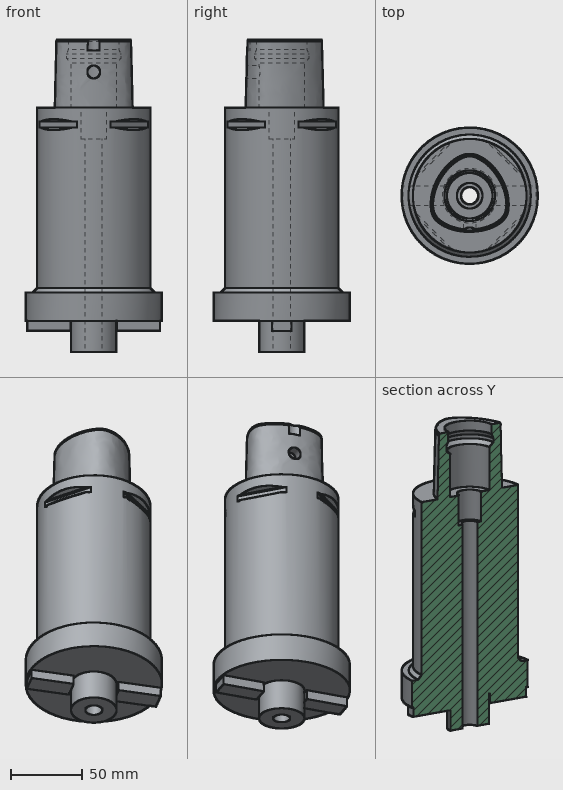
import math

import cadquery as cq


SHANK_LENGTH = 48.0
SHANK_BASE_RADIUS = 27.5
TAPER_PER_SIDE = 1.0 / 40.0
LOBE_COUNT = 3
LOBE_HEIGHT = 2.0
OUTLINE_POINTS = 24
TIP_CHAMFER_WIDTH = 0.6
TIP_CHAMFER_HEIGHT = 1.5
CROSS_HOLE_DIAMETER = 9.0
CROSS_HOLE_HEIGHT = 25.0
NOTCH_RADIUS = 5.5
NOTCH_FLOOR_DISTANCE = 22.3
NOTCH_LENGTH = 8.0

BODY_RADIUS = 40.0
BODY_LENGTH = 150.0
COLLAR_RADIUS = 48.0
COLLAR_HEIGHT = 20.0
COLLAR_FLARE = 3.0
PILOT_RADIUS = 16.0
PILOT_LENGTH = 22.0
KEY_WIDTH = 14.0
KEY_HEIGHT = 7.0
KEY_PILOT_GAP = 0.3
KEY_INNER_DISTANCE = PILOT_RADIUS + KEY_PILOT_GAP
KEY_OUTER_DISTANCE = 46.8

SLOT_COUNT = 4
SLOT_FIRST_ANGLE = 45.0
SLOT_DEPTH_FROM_FACE = 12.0
SLOT_WIDTH = 4.0
SLOT_FLOOR_DISTANCE = 35.35
SLOT_FLARE_DISTANCE = 36.7
SLOT_FLARE_ANGLE = 30.0

MOUTH_RADIUS = 17.8
MOUTH_DEPTH = 7.3
RECESS_RADIUS = 19.2
RECESS_TOP_DEPTH = 10.5
RECESS_BOTTOM_DEPTH = 13.4
BORE_RADIUS = 16.0
BORE_TOP_DEPTH = RECESS_BOTTOM_DEPTH + (RECESS_RADIUS - BORE_RADIUS)
BORE_DEPTH = SHANK_LENGTH
COUNTERBORE_RADIUS = 9.0
COUNTERBORE_DEPTH = 70.0
THROUGH_RADIUS = 6.0

COLLAR_BOTTOM = -BODY_LENGTH
COLLAR_TOP = COLLAR_BOTTOM + COLLAR_HEIGHT
PILOT_BOTTOM = COLLAR_BOTTOM - PILOT_LENGTH


def lobed_outline(workplane, mean_radius):
    """Three-lobed constant-width curve with one lobe pointing to +Y, starting at -Y."""
    points = []
    for index in range(OUTLINE_POINTS):
        angle = 2.0 * math.pi * index / OUTLINE_POINTS - math.pi / 2.0
        from_lobe = LOBE_COUNT * (angle - math.pi / 2.0)
        reach = mean_radius + LOBE_HEIGHT * math.cos(from_lobe)
        slope = -LOBE_COUNT * LOBE_HEIGHT * math.sin(from_lobe)
        x = reach * math.cos(angle) - slope * math.sin(angle)
        y = reach * math.sin(angle) + slope * math.cos(angle)
        points.append((x, y))
    return workplane.spline(points, periodic=True).close()


def lobed_frustum(bottom, height, bottom_radius, top_radius):
    """Tapered solid between two lobed outlines."""
    base = lobed_outline(cq.Workplane("XY", origin=(0, 0, bottom)), bottom_radius)
    return lobed_outline(base.workplane(offset=height), top_radius).loft(ruled=True)


def revolved(profile):
    """Turn an (r, z) outline around the Z axis."""
    return cq.Workplane("XZ").polyline(profile).close().revolve(360, (0, 0), (0, 1))


def make_shank():
    taper_length = SHANK_LENGTH - TIP_CHAMFER_HEIGHT
    shoulder_radius = SHANK_BASE_RADIUS - TAPER_PER_SIDE * taper_length
    tip_radius = shoulder_radius - TIP_CHAMFER_WIDTH
    taper = lobed_frustum(0, taper_length, SHANK_BASE_RADIUS, shoulder_radius)
    tip = lobed_frustum(taper_length, TIP_CHAMFER_HEIGHT, shoulder_radius, tip_radius)
    return taper.union(tip)


def make_body():
    return revolved([
        (0, 0),
        (BODY_RADIUS, 0),
        (BODY_RADIUS, COLLAR_TOP + COLLAR_FLARE),
        (BODY_RADIUS + COLLAR_FLARE, COLLAR_TOP),
        (COLLAR_RADIUS, COLLAR_TOP),
        (COLLAR_RADIUS, COLLAR_BOTTOM),
        (PILOT_RADIUS, COLLAR_BOTTOM),
        (PILOT_RADIUS, PILOT_BOTTOM),
        (0, PILOT_BOTTOM),
    ])


def make_drive_key(side):
    """Drive key under the collar on the +X (side = 1) or -X (side = -1) half."""
    length = KEY_OUTER_DISTANCE - KEY_INNER_DISTANCE
    middle = side * (KEY_OUTER_DISTANCE + KEY_INNER_DISTANCE) / 2
    key = cq.Workplane("XY", origin=(middle, 0, COLLAR_BOTTOM))
    return key.rect(length, KEY_WIDTH).extrude(-KEY_HEIGHT)


def make_bore():
    def below_tip(depth):
        return SHANK_LENGTH - depth

    return revolved([
        (0, SHANK_LENGTH),
        (MOUTH_RADIUS, SHANK_LENGTH),
        (MOUTH_RADIUS, below_tip(MOUTH_DEPTH)),
        (RECESS_RADIUS, below_tip(RECESS_TOP_DEPTH)),
        (RECESS_RADIUS, below_tip(RECESS_BOTTOM_DEPTH)),
        (BORE_RADIUS, below_tip(BORE_TOP_DEPTH)),
        (BORE_RADIUS, below_tip(BORE_DEPTH)),
        (COUNTERBORE_RADIUS, below_tip(BORE_DEPTH)),
        (COUNTERBORE_RADIUS, below_tip(COUNTERBORE_DEPTH)),
        (THROUGH_RADIUS, below_tip(COUNTERBORE_DEPTH)),
        (THROUGH_RADIUS, PILOT_BOTTOM),
        (0, PILOT_BOTTOM),
    ])


def make_cross_hole():
    """Radial hole from the -Y side of the shank into the bore."""
    hole = cq.Workplane("XZ", origin=(0, 0, CROSS_HOLE_HEIGHT)).circle(CROSS_HOLE_DIAMETER / 2)
    return hole.extrude(BODY_RADIUS)


def make_tip_notch():
    notch_center_y = -(NOTCH_FLOOR_DISTANCE + NOTCH_RADIUS)
    notch = cq.Workplane("XY", origin=(0, notch_center_y, SHANK_LENGTH))
    return notch.circle(NOTCH_RADIUS).extrude(-NOTCH_LENGTH)


def make_gripper_slot(angle):
    """Straight slot with a parallel-sided floor that flares open outwards."""
    half_floor = SLOT_WIDTH / 2
    flare_run = BODY_RADIUS - SLOT_FLARE_DISTANCE
    half_mouth = half_floor + flare_run * math.tan(math.radians(SLOT_FLARE_ANGLE))
    section = [
        (SLOT_FLOOR_DISTANCE, -half_floor),
        (SLOT_FLARE_DISTANCE, -half_floor),
        (BODY_RADIUS, -half_mouth),
        (BODY_RADIUS, half_mouth),
        (SLOT_FLARE_DISTANCE, half_floor),
        (SLOT_FLOOR_DISTANCE, half_floor),
    ]
    slot = cq.Workplane("XZ", origin=(0, 0, -SLOT_DEPTH_FROM_FACE)).polyline(section).close()
    return slot.extrude(BODY_RADIUS, both=True).rotate((0, 0, 0), (0, 0, 1), angle)


result = make_body().union(make_shank())
for side in (-1, 1):
    result = result.union(make_drive_key(side))
result = result.cut(make_bore()).cut(make_cross_hole()).cut(make_tip_notch())
for index in range(SLOT_COUNT):
    result = result.cut(make_gripper_slot(SLOT_FIRST_ANGLE + index * 360.0 / SLOT_COUNT))